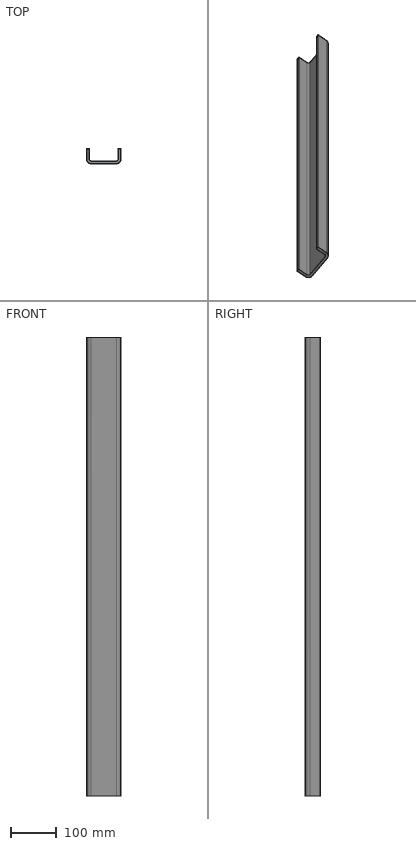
import cadquery as cq

width = 75.0
depth = 33.0
length = 1000.0
wall = 6.0
outer_bend_radius = 10.0
inner_bend_radius = 5.0


def upright_box(size_x, size_y, y_start, bend_radius):
    """Full-length block centred on X, with its two -Y edges rounded."""
    block = cq.Workplane("XY").box(size_x, size_y, length, centered=(True, False, False))
    return block.edges("|Z and <Y").fillet(bend_radius).translate((0, y_start, 0))


def make_channel():
    """U-section open towards +Y, rounded inside and outside the bends."""
    outside = upright_box(width, depth, 0, outer_bend_radius)
    inside = upright_box(width - 2 * wall, depth, wall, inner_bend_radius)
    return outside.cut(inside)


result = make_channel()